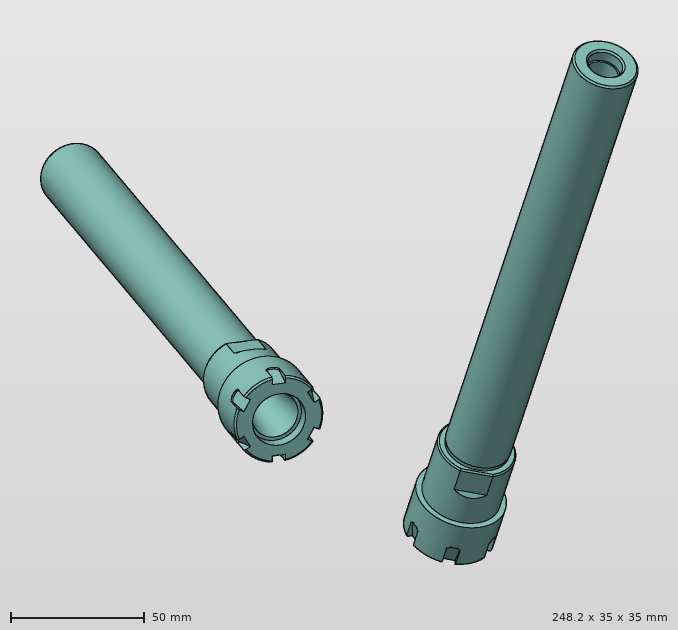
import cadquery as cq

total_length = 248.2
neck_start = 201.3
collar_start = 203.0
nut_length = 20.0
nut_start = total_length - nut_length

shank_diameter = 25.3
shank_chamfer = 0.7
neck_diameter = 24.8
collar_diameter = 30.3
collar_chamfer = 0.62
nose_diameter = 26.0
nose_end = 243.2
bore_diameter = 12.0
rear_bore_diameter = 13.5
rear_bore_depth = 5.0
rear_mouth_diameter = 15.0
socket_diameter = 18.0
socket_depth = 29.8

flat_across = 27.5
flat_end = 213.5
flat_runout_slope = 0.8

nut_diameter = 35.0
nut_front_chamfer = 0.7
nut_opening_diameter = 20.8
slot_count = 6
slot_width = 5.2
slot_length = 9.0
slot_tip_length = 1.0
slot_tip_width = 2.5
slot_tip_depth = 0.7
slot_front_depth = 3.0


def revolve_about_x(profile):
    """Turn a closed (x, radius) outline about the X axis."""
    return cq.Workplane("XY").polyline(profile).close().revolve(360, (0, 0, 0), (1, 0, 0))


def make_holder_blank():
    """Shank, neck, collar and nose with the stepped bore, as one turned piece."""
    shank_radius = shank_diameter / 2
    neck_radius = neck_diameter / 2
    collar_radius = collar_diameter / 2
    nose_radius = nose_diameter / 2
    bore_radius = bore_diameter / 2
    rear_bore_radius = rear_bore_diameter / 2
    rear_mouth_radius = rear_mouth_diameter / 2
    mouth_depth = rear_mouth_radius - rear_bore_radius
    return revolve_about_x([
        (0, rear_mouth_radius),
        (0, shank_radius - shank_chamfer),
        (shank_chamfer, shank_radius),
        (neck_start, shank_radius),
        (neck_start + shank_radius - neck_radius, neck_radius),
        (collar_start, neck_radius),
        (collar_start, collar_radius - collar_chamfer),
        (collar_start + collar_chamfer, collar_radius),
        (nut_start, collar_radius),
        (nut_start, nose_radius),
        (nose_end, nose_radius),
        (nose_end, socket_diameter / 2),
        (nose_end - socket_depth, bore_radius),
        (rear_bore_depth, bore_radius),
        (rear_bore_depth, rear_bore_radius),
        (mouth_depth, rear_bore_radius),
    ])


def make_flat_cutter():
    """Prism above the +Z flat, chamfered at the collar face and ending in a sloped runout toward the nut."""
    flat_height = flat_across / 2
    cutter_top = collar_diameter
    runout_length = (cutter_top - flat_height) / flat_runout_slope
    return (
        cq.Workplane("XZ")
        .polyline([
            (collar_start, flat_height - collar_chamfer),
            (collar_start + collar_chamfer, flat_height),
            (flat_end, flat_height),
            (flat_end + runout_length, cutter_top),
            (collar_start, cutter_top),
        ])
        .close()
        .extrude(collar_diameter / 2, both=True)
    )


def make_holder():
    holder = make_holder_blank()
    for angle in (0, 180):
        holder = holder.cut(make_flat_cutter().rotate((0, 0, 0), (1, 0, 0), angle))
    return holder


def make_nut_blank():
    """Turned nut that fits over the nose, with a lip in front of it."""
    nut_radius = nut_diameter / 2
    nose_radius = nose_diameter / 2
    opening_radius = nut_opening_diameter / 2
    return revolve_about_x([
        (nut_start, nose_radius),
        (nut_start, nut_radius),
        (total_length - nut_front_chamfer, nut_radius),
        (total_length, nut_radius - nut_front_chamfer),
        (total_length, opening_radius),
        (nose_end, opening_radius),
        (nose_end, nose_radius),
    ])


def make_slot_cutter():
    """Spanner slot at +Z with a tapered tip and a floor that deepens toward the front face."""
    nut_radius = nut_diameter / 2
    cutter_top = nut_diameter
    tip_x = total_length - slot_length
    shoulder_x = tip_x + slot_tip_length
    half_width = slot_width / 2
    half_tip = slot_tip_width / 2
    plan = (
        cq.Workplane("XY")
        .polyline([
            (total_length, -half_width),
            (shoulder_x, -half_width),
            (tip_x, -half_tip),
            (tip_x, half_tip),
            (shoulder_x, half_width),
            (total_length, half_width),
        ])
        .close()
        .extrude(cutter_top)
    )
    ramp = (
        cq.Workplane("XZ")
        .polyline([
            (tip_x, nut_radius - slot_tip_depth),
            (total_length, nut_radius - slot_front_depth),
            (total_length, cutter_top),
            (tip_x, cutter_top),
        ])
        .close()
        .extrude(slot_width, both=True)
    )
    return plan.intersect(ramp)


def make_nut():
    nut = make_nut_blank()
    for index in range(slot_count):
        angle = index * 360 / slot_count
        nut = nut.cut(make_slot_cutter().rotate((0, 0, 0), (1, 0, 0), angle))
    return nut


holder = make_holder()
nut = make_nut()

result = cq.Compound.makeCompound([holder.val(), nut.val()])